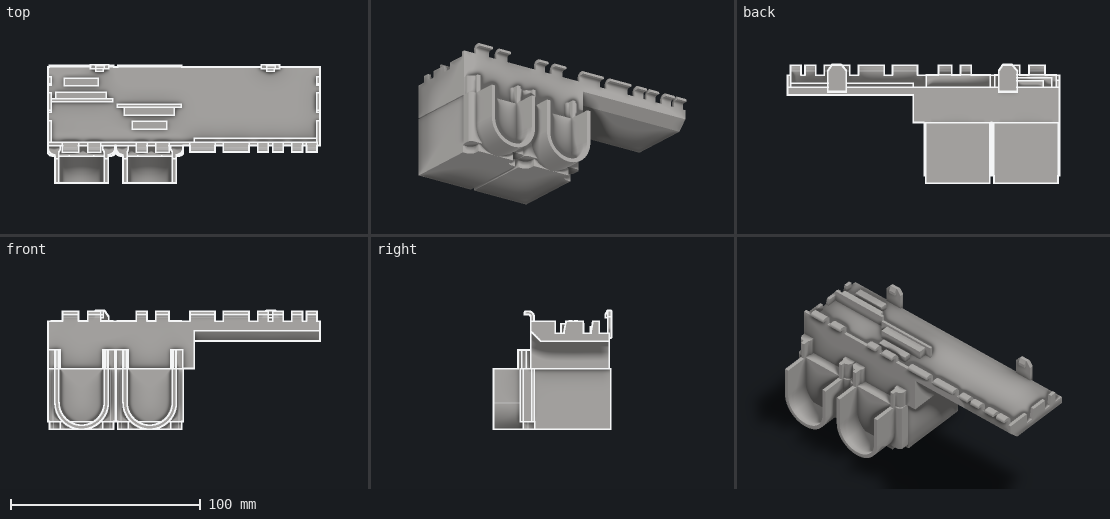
import cadquery as cq
import math


strip_length = 143.6
strip_depth = 41.5
block_length = 77.3
wall = 1.9
deck_z = 50.7
strip_bottom_z = 46.5
block_bottom_z = 32.0
front_wall_top_z = 57.0
edge_chamfer = 5.3
slope_depth = 2.2

hook_spans = [(7.6, 16.2), (21.0, 28.0), (46.5, 52.5), (56.9, 63.9), (75.0, 88.2),
              (92.5, 106.2), (110.6, 116.4), (118.5, 124.3), (128.5, 134.5), (136.3, 142.0)]
hook_top_z = 62.3
hook_reach = 3.5
hook_inner_radius = 1.1
hook_tip_radius = 1.5

end_tab_spans = [(36.3, 32.8, 31.9), (27.9, 18.7, 17.5), (13.1, wall, wall)]
left_tab_top_z = 54.5
right_tab_top_z = front_wall_top_z

clip_centres = [27.3, 117.4]
clip_width = 9.8
clip_left_taper = 2.9
clip_right_taper = 2.3
clip_shoulder = 3.5
clip_thickness = 2.2
clip_back_y = 42.8
clip_bottom_z = 48.0
clip_top_z = 62.8
clip_bevel = 0.6
clip_catch_width = 3.9
clip_catch_reach = 1.3
clip_catch_z = 58.8
clip_catch_flat = 1.7

rib_thickness = 1.5
rib_top_z = 57.2
long_bar_top_z = 55.7
short_bar_top_z = 54.2
long_bar_length = 26.6
short_bar_length = 18.1
short_bar_depth = 4.0

left_rib_ends = (wall, 34.3)
left_rib_front_y = 23.3
left_long_bar_x = 4.3
left_long_bar_back_y = 28.2
left_short_bar_x = 8.6
left_short_bar_front_y = 31.6

right_rib_ends = (36.5, 70.2)
right_rib_front_y = 20.4
right_long_bar_x = 40.2
right_long_bar_front_y = 16.0
right_short_bar_x = 44.5
right_short_bar_front_y = 8.8

module_pitch = 35.9
module_count = 2
module_width = 35.6
module_centre = module_width / 2
core_inset = 0.9
core_front_y = 2.3
core_back_y = 42.4

foot_height = 4.0
foot_front_y = -3.9
foot_half_width = 11.2
foot_cove = 3.7

frame_front_y = -5.5
frame_root_y = 2.0
frame_side_y = -3.9
frame_shoulder_y = 0.7
frame_corner_width = 2.6
frame_corner_radius = 2.9

trough_radius = 14.1
trough_wall = 2.2
trough_front_y = -19.7
trough_inner_radius = trough_radius - trough_wall

post_top_z = 42.0
post_arm_y = -6.9
post_face_y = -4.7
post_corner_radius = 3.6
post_side_y = -2.2
post_inset = 0.3
post_tip_bevel = 0.5
post_width = 6.6
post_neck_start_y = -2.0
post_neck_end_y = -3.3


def block(x_range, y_range, z_range):
    """Box between two limits on each axis."""
    (x0, x1), (y0, y1), (z0, z1) = x_range, y_range, z_range
    return cq.Workplane("XY").box(x1 - x0, y1 - y0, z1 - z0, centered=False).translate((x0, y0, z0))


def side_profile(points, x0, x1):
    """Prism along X from a closed outline of (y, z) points."""
    return cq.Workplane("YZ").polyline(points).close().extrude(x1 - x0).translate((x0, 0, 0))


def plan_mirror(solid):
    """The solid together with its mirror image about the module centre."""
    return solid.union(solid.mirror("YZ", (module_centre, 0, 0)))


def make_body():
    """Block, bevelled strip, front wall and the bevel inside that wall."""
    body = block((0, block_length), (0, strip_depth), (block_bottom_z, deck_z))
    strip_outline = [(strip_depth, deck_z), (strip_depth, strip_bottom_z),
                     (edge_chamfer, strip_bottom_z), (0, strip_bottom_z + edge_chamfer),
                     (0, front_wall_top_z), (wall, front_wall_top_z),
                     (wall, deck_z + slope_depth), (wall + slope_depth, deck_z)]
    strip = side_profile(strip_outline, block_length, strip_length)
    front_wall = block((0, block_length), (0, wall), (deck_z, front_wall_top_z))
    return body.union(strip).union(front_wall)


def make_hook(x0, x1):
    """Upright of the front wall that curls forward into a rounded lip."""
    bend_radius = hook_inner_radius + wall
    bend_z = hook_top_z - bend_radius
    bend_y = wall - bend_radius
    diagonal = math.sqrt(0.5)
    tip_y = -hook_reach + hook_tip_radius
    tip_z = hook_top_z - hook_tip_radius
    outline = (
        cq.Workplane("YZ")
        .moveTo(0, front_wall_top_z)
        .lineTo(wall, front_wall_top_z)
        .lineTo(wall, bend_z)
        .threePointArc((bend_y + bend_radius * diagonal, bend_z + bend_radius * diagonal),
                       (bend_y, hook_top_z))
        .lineTo(tip_y, hook_top_z)
        .threePointArc((tip_y - hook_tip_radius * diagonal, tip_z + hook_tip_radius * diagonal),
                       (-hook_reach, tip_z))
        .lineTo(-hook_reach, hook_top_z - wall)
        .lineTo(bend_y, hook_top_z - wall)
        .threePointArc((bend_y + hook_inner_radius * diagonal, bend_z + hook_inner_radius * diagonal),
                       (0, bend_z))
        .close()
    )
    return outline.extrude(x1 - x0).translate((x0, 0, 0))


def make_end_tab(span, x0, top_z):
    """Upright tab on an end wall with a slanted front edge."""
    back, front, root = span
    return side_profile([(back, deck_z), (back, top_z), (front, top_z), (root, deck_z)], x0, x0 + wall)


def make_clip(centre):
    """Snap clip: tapered blade with a small catch facing the deck."""
    front_y = clip_back_y - clip_thickness
    half_width = clip_width / 2
    blade = (
        cq.Workplane("XZ")
        .moveTo(-half_width, clip_bottom_z)
        .lineTo(half_width, clip_bottom_z)
        .lineTo(half_width, clip_top_z - clip_shoulder)
        .lineTo(half_width - clip_right_taper, clip_top_z)
        .lineTo(clip_left_taper - half_width, clip_top_z)
        .lineTo(-half_width, clip_top_z - clip_shoulder)
        .close()
        .extrude(-clip_thickness)
        .translate((centre, front_y, 0))
        .faces(">Y").edges("<Z or >Z").chamfer(clip_bevel)
    )
    catch_y = front_y - clip_catch_reach
    catch_outline = [(front_y, clip_catch_z), (catch_y, clip_catch_z),
                     (catch_y, clip_catch_z + clip_catch_flat), (front_y, clip_top_z)]
    half_catch = clip_catch_width / 2
    return blade.union(side_profile(catch_outline, centre - half_catch, centre + half_catch))


def make_bar_group(rib_ends, rib_front_y, long_bar_x, long_bar_y, short_bar_x, short_bar_front_y):
    """Thin rib, a long bar against one side of it and a separate short bar."""
    rib = block(rib_ends, (rib_front_y, rib_front_y + rib_thickness), (deck_z, rib_top_z))
    long_bar = block((long_bar_x, long_bar_x + long_bar_length), long_bar_y, (deck_z, long_bar_top_z))
    short_bar = block((short_bar_x, short_bar_x + short_bar_length),
                      (short_bar_front_y, short_bar_front_y + short_bar_depth),
                      (deck_z, short_bar_top_z))
    return rib.union(long_bar).union(short_bar)


def make_deck_bars():
    """Left group with its long bar behind the rib, right group with it in front."""
    left_group = make_bar_group(left_rib_ends, left_rib_front_y,
                                left_long_bar_x, (left_rib_front_y + rib_thickness, left_long_bar_back_y),
                                left_short_bar_x, left_short_bar_front_y)
    right_group = make_bar_group(right_rib_ends, right_rib_front_y,
                                 right_long_bar_x, (right_long_bar_front_y, right_rib_front_y),
                                 right_short_bar_x, right_short_bar_front_y)
    return left_group.union(right_group)


def make_core():
    """Main box of a module and its stepped foot with coved inner corners."""
    core = block((core_inset, module_width - core_inset), (core_front_y, core_back_y), (0, block_bottom_z))
    left = module_centre - foot_half_width
    cove_y = core_front_y - foot_cove
    diagonal = foot_cove * math.sqrt(0.5)
    half_foot = (
        cq.Workplane("XY")
        .moveTo(left - foot_cove, core_front_y)
        .threePointArc((left - foot_cove + diagonal, cove_y + diagonal), (left, cove_y))
        .lineTo(left, foot_front_y)
        .lineTo(module_centre, foot_front_y)
        .lineTo(module_centre, core_front_y)
        .close()
        .extrude(foot_height)
    )
    return core.union(plan_mirror(half_foot))


def make_frame():
    """Front plate of a module with rounded outer corners."""
    half_frame = (
        cq.Workplane("XY")
        .moveTo(module_centre, core_front_y)
        .lineTo(core_inset, core_front_y)
        .lineTo(core_inset, frame_root_y)
        .lineTo(0, frame_shoulder_y)
        .lineTo(0, frame_side_y)
        .radiusArc((frame_corner_width, frame_front_y), -frame_corner_radius)
        .lineTo(module_centre, frame_front_y)
        .close()
        .extrude(block_bottom_z - foot_height)
        .translate((0, 0, foot_height))
    )
    return plan_mirror(half_frame)


def u_shape(radius, front_y, back_y):
    """Solid U along Y: half round below, straight sides up to the block underside."""
    return (
        cq.Workplane("XZ")
        .moveTo(module_centre - radius, block_bottom_z)
        .lineTo(module_centre - radius, trough_radius)
        .threePointArc((module_centre, trough_radius - radius), (module_centre + radius, trough_radius))
        .lineTo(module_centre + radius, block_bottom_z)
        .close()
        .extrude(back_y - front_y)
        .translate((0, back_y, 0))
    )


def make_trough():
    """U-shaped shell reaching forward from the foot."""
    outer = u_shape(trough_radius, trough_front_y, foot_front_y)
    return outer.cut(u_shape(trough_inner_radius, trough_front_y, foot_front_y))


def make_posts():
    """Pair of corner columns that continue the trough sides above the frame."""
    arm_left = module_centre - trough_radius
    arm_right = module_centre - trough_inner_radius
    post = (
        cq.Workplane("XY")
        .moveTo(post_inset, 0)
        .lineTo(post_inset, post_side_y)
        .radiusArc((arm_left, post_face_y), -post_corner_radius)
        .lineTo(arm_left, post_arm_y + post_tip_bevel)
        .lineTo(arm_left + post_tip_bevel, post_arm_y)
        .lineTo(arm_right - post_tip_bevel, post_arm_y)
        .lineTo(arm_right, post_arm_y + post_tip_bevel)
        .lineTo(arm_right, post_neck_end_y)
        .lineTo(post_width, post_neck_start_y)
        .lineTo(post_width, 0)
        .close()
        .extrude(post_top_z - block_bottom_z)
        .translate((0, 0, block_bottom_z))
    )
    return plan_mirror(post)


result = make_body().union(make_deck_bars())

for hook_left, hook_right in hook_spans:
    result = result.union(make_hook(hook_left, hook_right))

for tab_span in end_tab_spans:
    result = result.union(make_end_tab(tab_span, 0, left_tab_top_z))
    result = result.union(make_end_tab(tab_span, strip_length - wall, right_tab_top_z))

for clip_centre in clip_centres:
    result = result.union(make_clip(clip_centre))

module = make_core().union(make_frame()).union(make_trough()).union(make_posts())
for module_index in range(module_count):
    result = result.union(module.translate((module_index * module_pitch, 0, 0)))